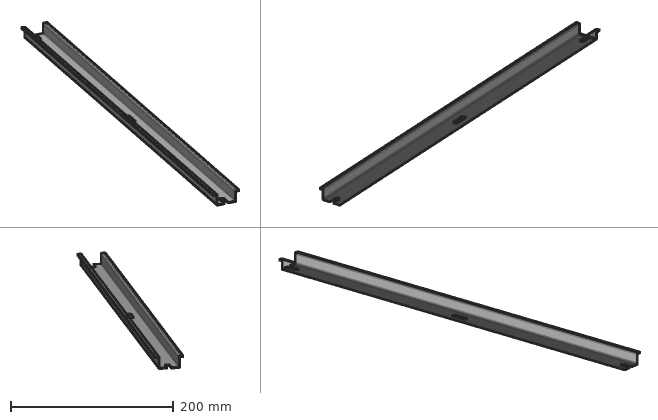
import cadquery as cq

length = 545.0
width = 35.0
height = 15.0
sheet = 1.35
channel_width = 26.5
inner_bend = 0.5
outer_bend = inner_bend + sheet

slot_width = 5.5
slot_length = 22.0
end_slot_depth = 15.0

wall_outside = channel_width / 2
wall_inside = wall_outside - sheet


def box(y_size, z_size, z_bottom, y_center=0):
    """Full-length bar of rectangular section."""
    bar = cq.Workplane("XY").box(length, y_size, z_size, centered=(True, True, False))
    return bar.translate((0, y_center, z_bottom))


def channel():
    """U-shaped trough with rounded bends along its bottom edges."""
    outside = box(channel_width, height, 0).edges("|X and <Z").fillet(outer_bend)
    inside = box(2 * wall_inside, height, sheet).edges("|X and <Z").fillet(inner_bend)
    return outside.cut(inside)


def flange(side):
    """Flat lip bent outward at the top of one wall."""
    flange_width = width / 2 - wall_inside
    return box(flange_width, sheet, height - sheet, side * (wall_inside + flange_width / 2))


def slot(x_center, slot_size):
    """Round-ended cutter through the floor."""
    return cq.Workplane("XY").center(x_center, 0).slot2D(slot_size, slot_width).extrude(height)


def round_edge(solid, y_edge, z_edge, radius):
    """Fillet the lengthwise edge that passes through the given Y, Z position."""
    edge = cq.selectors.NearestToPointSelector((0, y_edge, z_edge))
    return solid.edges("|X").edges(edge).fillet(radius)


body = channel()
for side in (-1, 1):
    body = body.union(flange(side))
    body = round_edge(body, side * wall_inside, height, outer_bend)
    body = round_edge(body, side * wall_outside, height - sheet, inner_bend)

body = body.cut(slot(0, slot_length))
for end_x in (-length / 2, length / 2):
    body = body.cut(slot(end_x, 2 * end_slot_depth))

result = body